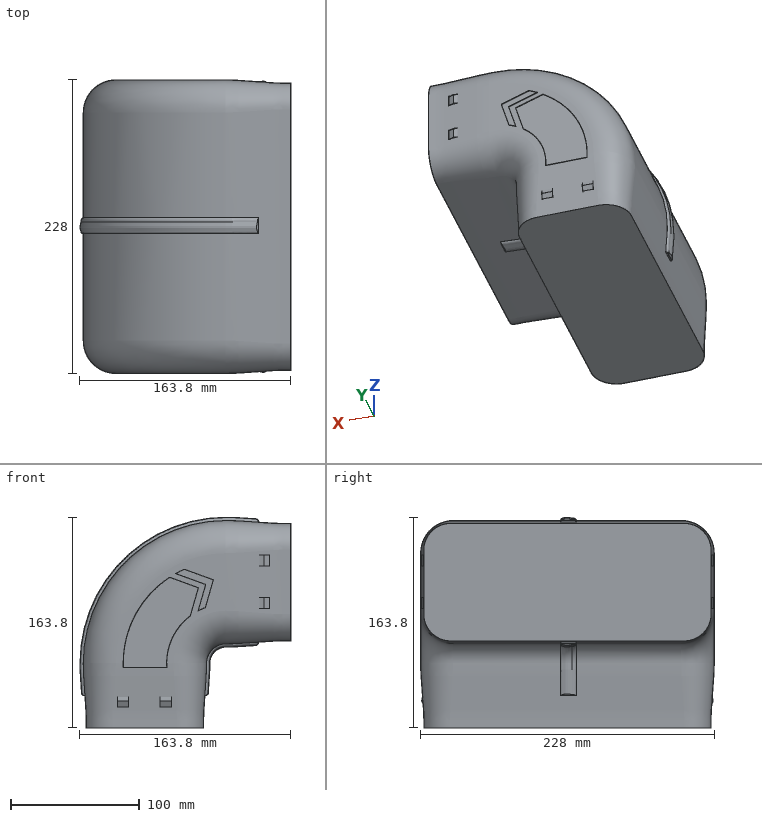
import cadquery as cq
import math


length = 228.0
outer_radius = 110.8
inner_radius = 15.0
corner_radius = 25.5

arm_length = 50.5
taper_start = 5.0
taper_end = 40.5
mouth_inset_radial = 2.3
mouth_inset_axial = 2.5
mouth_corner_radius = 20.5
neck_blend = 5.0
mouth_blend = 3.6

rib_height = 2.5
rib_shoulder_height = 1.8
rib_root = 2.3
rib_base = (-5.2, 7.0)
rib_shoulder = (-3.6, 3.6)
rib_crown = (-1.4, 0.5)
rib_reach = 25.0
rib_end_bevel = 1.4

snap_radii = (46.7, 79.8)
snap_width = 8.7
snap_start = 26.2
snap_peak = 29.5
snap_end = 34.0
snap_height = 1.0
snap_depth = 1.1

panel_inner_radius = 46.0
panel_outer_radius = 79.8
panel_tail = 3.2
panel_depth = 0.5
panel_tip = (-21.5, 58.5)
chevron_inner_tip = (-15.7, 61.0)
chevron_outer_tip = (-9.8, 64.8)
upper_edge_angle = math.radians(160)
lower_edge_angle = math.radians(254)

middle_radius = (outer_radius + inner_radius) / 2
taper_slope_radial = mouth_inset_radial / (taper_end - taper_start)
taper_slope_axial = mouth_inset_axial / (taper_end - taper_start)


def cross_section(shrink=0.0):
    """Rounded rectangle, long side along the bend axis; shrink runs from 0 at the bend to 1 at the mouth."""
    width = length - 2 * shrink * mouth_inset_axial
    height = outer_radius - inner_radius - 2 * shrink * mouth_inset_radial
    radius = corner_radius + shrink * (mouth_corner_radius - corner_radius)
    return cq.Sketch().rect(width, height).vertices().fillet(radius)


def arm_plane(x):
    """Plane across the X arm at the distance x, centred on the arm."""
    return cq.Workplane("YZ", origin=(x, 0, middle_radius))


def loft_arm(stations):
    """Loft between (distance, shrink) stations along the X arm."""
    first_x = stations[0][0]
    sections = [
        cross_section(shrink).moved(cq.Location(cq.Vector(0, 0, x - first_x)))
        for x, shrink in stations
    ]
    return arm_plane(first_x).placeSketch(*sections).loft(ruled=len(sections) == 2)


def with_lower_arm(upper_part):
    """X arm part joined with its reflection on the -Z arm."""
    return upper_part.union(upper_part.mirror(cq.Vector(1, 0, 1)))


def revolve_bend(profile, axis_distance):
    """Turn a profile from the X arm to the -Z arm; axis_distance is its origin's radius."""
    return profile.revolve(90, (0, -axis_distance, 0), (-1, -axis_distance, 0))


def make_bend():
    return revolve_bend(arm_plane(0).placeSketch(cross_section()), middle_radius)


def make_arm():
    """Taper between parabolic blends, ending in a straight mouth."""
    slope = 1 / (taper_end - taper_start)
    bend_end = (taper_start - neck_blend, 0)
    neck_middle = (taper_start, slope * neck_blend / 4)
    neck_end = (taper_start + neck_blend, slope * neck_blend)
    lip_start = (taper_end - mouth_blend, 1 - slope * mouth_blend)
    lip_middle = (taper_end, 1 - slope * mouth_blend / 4)
    lip_end = (taper_end + mouth_blend, 1)
    mouth = (arm_length, 1)
    return (
        loft_arm([bend_end, neck_middle, neck_end])
        .union(loft_arm([neck_end, lip_start]))
        .union(loft_arm([lip_start, lip_middle, lip_end]))
        .union(loft_arm([lip_end, mouth]))
    )


def flank_middle(base_y, shoulder_y):
    """Point on the outward-bulging curve from the rib base to its shoulder."""
    return (
        base_y + (shoulder_y - base_y) * (1 - math.sqrt(0.5)),
        rib_shoulder_height * math.sqrt(0.5),
    )


def rib_profile(x, radius, side):
    """Rib section with rounded flanks and a faceted crown, raised on the given side."""
    right_middle = flank_middle(rib_base[0], rib_shoulder[0])
    left_middle = flank_middle(rib_base[1], rib_shoulder[1])
    return (
        cq.Workplane("YZ", origin=(x, 0, radius))
        .moveTo(rib_base[0], -side * rib_root)
        .lineTo(rib_base[0], 0)
        .threePointArc(
            (right_middle[0], side * right_middle[1]),
            (rib_shoulder[0], side * rib_shoulder_height),
        )
        .lineTo(rib_crown[0], side * rib_height)
        .lineTo(rib_crown[1], side * rib_height)
        .lineTo(rib_shoulder[1], side * rib_shoulder_height)
        .threePointArc((left_middle[0], side * left_middle[1]), (rib_base[1], 0))
        .lineTo(rib_base[1], -side * rib_root)
        .close()
    )


def make_rib(radius, side):
    """Rib along the surface at the given radius; side is 1 outward, -1 inward."""
    bend_rib = revolve_bend(rib_profile(0, radius, side), radius)
    neck_rib = rib_profile(0, radius, side).extrude(taper_start)
    end_radius = radius - side * taper_slope_radial * (rib_reach - taper_start)
    taper_rib = cq.Workplane(cq.Solid.makeLoft([
        rib_profile(taper_start, radius, side).val(),
        rib_profile(rib_reach, end_radius, side).val(),
    ], True))
    crown = ">Z" if side > 0 else "<Z"
    taper_rib = taper_rib.faces(">X").edges(crown).chamfer(rib_end_bevel)
    return bend_rib.union(with_lower_arm(neck_rib.union(taper_rib)))


def surface_half_length(x):
    """Distance of the tapered arm side from the middle plane."""
    return length / 2 - taper_slope_axial * (x - taper_start)


def snap_prism(points, radius):
    """Prism of X-Y points, as wide as a snap, centred on the radius."""
    return (
        cq.Workplane("XY", origin=(0, 0, radius - snap_width / 2))
        .polyline(points)
        .close()
        .extrude(snap_width)
    )


def add_snap(body, radius):
    """Ramp rising to a peak, then falling into a shallow hollow, on each side and arm."""
    start = surface_half_length(snap_start)
    peak = surface_half_length(snap_peak)
    end = surface_half_length(snap_end)
    ramp = snap_prism([
        (snap_start, start),
        (snap_peak, peak + snap_height),
        (snap_end, end - snap_depth),
        (snap_start, end - snap_depth),
    ], radius)
    hollow = snap_prism([
        (snap_peak, peak + snap_height),
        (snap_end, end + snap_height),
        (snap_end, end - snap_depth),
    ], radius)
    ramp = with_lower_arm(ramp.union(ramp.mirror("XZ")))
    hollow = with_lower_arm(hollow.union(hollow.mirror("XZ")))
    return body.union(ramp).cut(hollow)


def arrow_region(tip):
    """Thick slab holding everything behind an arrow tip and above the panel tail."""
    reach = 2 * panel_outer_radius
    drop = (tip[1] + panel_tail) / math.sin(lower_edge_angle)
    tail_x = tip[0] - drop * math.cos(lower_edge_angle)
    upper_end = (
        tip[0] + reach * math.cos(upper_edge_angle),
        tip[1] + reach * math.sin(upper_edge_angle),
    )
    return (
        cq.Workplane("XZ", origin=(0, length / 2, 0))
        .polyline([tip, upper_end, (upper_end[0], -panel_tail), (tail_x, -panel_tail)])
        .close()
        .extrude(length)
    )


def make_arrow_panels():
    """Arrow panel and its leading chevron, as shallow cutters on both end faces."""
    ring = (
        cq.Workplane("XZ", origin=(0, length / 2, 0))
        .circle(panel_outer_radius)
        .circle(panel_inner_radius)
        .extrude(panel_depth)
    )
    panel = ring.intersect(arrow_region(panel_tip))
    chevron = ring.intersect(arrow_region(chevron_outer_tip)).cut(arrow_region(chevron_inner_tip))
    cutters = panel.union(chevron)
    return cutters.union(cutters.mirror("XZ"))


result = make_bend().union(with_lower_arm(make_arm()))
result = result.union(make_rib(outer_radius, 1))
result = result.union(make_rib(inner_radius, -1))
for snap_radius in snap_radii:
    result = add_snap(result, snap_radius)
result = result.cut(make_arrow_panels())